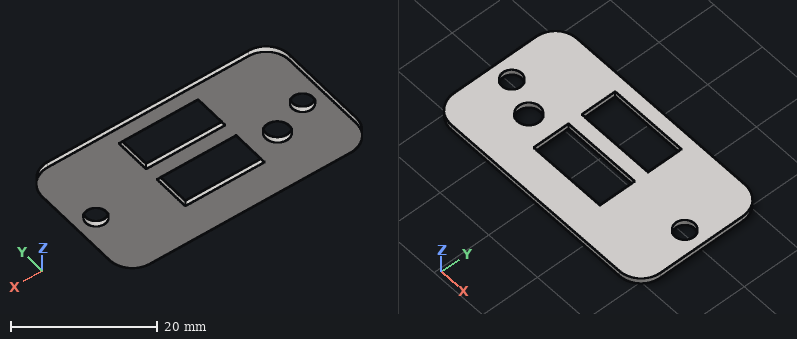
import cadquery as cq

length = 42.5
width = 23.0
thickness = 1.1
corner_radius = 4.0

mount_diameter = 3.5
mount_spacing = 35.55

port_diameter = 4.0
port_center = (-11.7, -2.3)

window_length = 13.6
upper_window_width = 6.08
lower_window_width = 6.35
upper_window_bottom = 3.05
window_gap = 2.45
lower_window_top = upper_window_bottom - window_gap
upper_window_y = upper_window_bottom + upper_window_width / 2
lower_window_y = lower_window_top - lower_window_width / 2


def make_plate():
    plate = cq.Workplane("XY").box(length, width, thickness)
    return plate.edges("|Z").fillet(corner_radius)


def cut_round_holes(plate, centers, diameter):
    return plate.faces(">Z").workplane(origin=(0, 0, 0)).pushPoints(centers).hole(diameter)


def cut_window(plate, center_y, window_width):
    cutter = cq.Workplane("XY").box(window_length, window_width, 2 * thickness)
    return plate.cut(cutter.translate((0, center_y, 0)))


mount_centers = [(side * mount_spacing / 2, 0) for side in (-1, 1)]

result = make_plate()
result = cut_round_holes(result, mount_centers, mount_diameter)
result = cut_round_holes(result, [port_center], port_diameter)
result = cut_window(result, upper_window_y, upper_window_width)
result = cut_window(result, lower_window_y, lower_window_width)